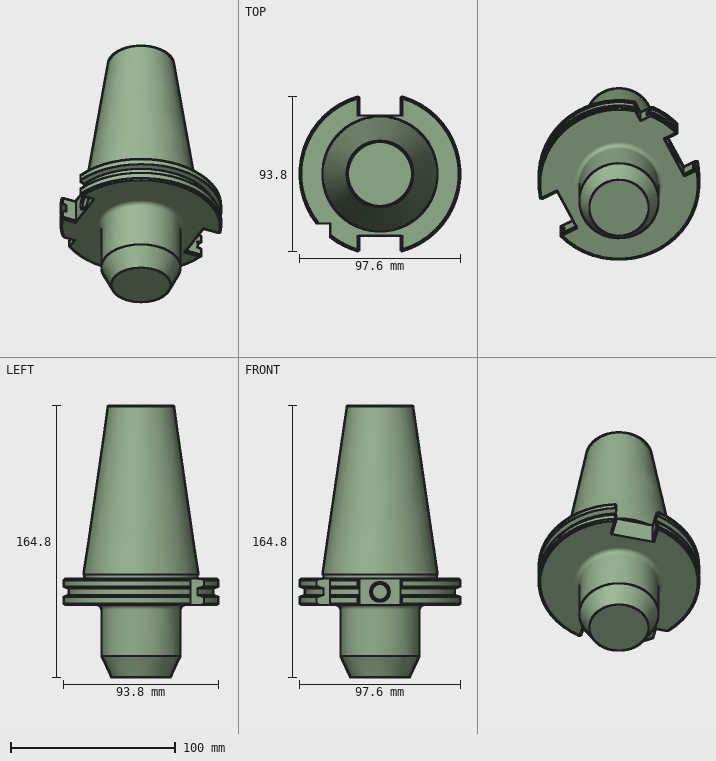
import cadquery as cq
import math

overall_length = 164.8
taper_length = 101.8
taper_slope = 7 / 48
taper_top_chamfer = 0.7
gauge_radius = 35.0
gauge_land = 0.7
neck_radius = 34.5
neck_fillet = 0.5

flange_radius = 48.8
flange_top_z = -3.1
flange_thickness = 16.0
flange_chamfer = 1.0

groove_mid_z = -11.0
groove_floor_radius = 45.6
groove_floor_width = 4.0
groove_mouth_width = 6.5

nose_radius = 24.0
nose_fillet = 2.8
nose_cone_length = 13.0
nose_end_radius = 18.0

slot_width = 25.0
slot_rim_chamfer = 1.0
front_slot_floor = 37.5
back_slot_floor = 35.5

notch_offset = 30.1

hole_diameter = 9.7
hole_depth = 3.8
hole_mouth_diameter = 11.9

taper_top_radius = gauge_radius - taper_slope * taper_length
flange_bottom_z = flange_top_z - flange_thickness
flange_mid_z = flange_top_z - flange_thickness / 2
nose_bottom_z = taper_length - overall_length

revolve_axis = ((0, 0, 0), (0, 1, 0))
arc_inset = 1 - math.sqrt(0.5)


def make_body():
    """Revolved taper, plain flange and nose."""
    chamfer_base_radius = taper_top_radius + taper_slope * taper_top_chamfer
    rim_radius = flange_radius - flange_chamfer
    neck_inset = arc_inset * neck_fillet
    nose_inset = arc_inset * nose_fillet
    return (
        cq.Workplane("XZ")
        .moveTo(0, taper_length)
        .lineTo(taper_top_radius - taper_top_chamfer, taper_length)
        .lineTo(chamfer_base_radius, taper_length - taper_top_chamfer)
        .lineTo(gauge_radius, 0)
        .lineTo(gauge_radius, -gauge_land)
        .lineTo(neck_radius, -gauge_land)
        .lineTo(neck_radius, flange_top_z + neck_fillet)
        .threePointArc(
            (neck_radius + neck_inset, flange_top_z + neck_inset),
            (neck_radius + neck_fillet, flange_top_z),
        )
        .lineTo(rim_radius, flange_top_z)
        .lineTo(flange_radius, flange_top_z - flange_chamfer)
        .lineTo(flange_radius, flange_bottom_z + flange_chamfer)
        .lineTo(rim_radius, flange_bottom_z)
        .lineTo(nose_radius + nose_fillet, flange_bottom_z)
        .threePointArc(
            (nose_radius + nose_inset, flange_bottom_z - nose_inset),
            (nose_radius, flange_bottom_z - nose_fillet),
        )
        .lineTo(nose_radius, nose_bottom_z + nose_cone_length)
        .lineTo(nose_end_radius, nose_bottom_z)
        .lineTo(0, nose_bottom_z)
        .close()
        .revolve(360, *revolve_axis)
    )


def make_slot(side, floor):
    """Drive slot through the flange, open to the -Y (side = -1) or +Y (side = 1) edge."""
    depth = flange_radius - floor
    return (
        cq.Workplane("XY", origin=(0, side * (floor + depth / 2), flange_bottom_z))
        .rect(slot_width, depth)
        .extrude(flange_thickness)
    )


def chamfer_slot_rims(body):
    """Chamfer every edge of the slot walls except the corners along the slot floors."""
    floor_corners = (-front_slot_floor, back_slot_floor)
    tolerance = 0.002
    rims = body.faces("|X").edges().filter(
        lambda edge: all(abs(edge.Center().y - y) > tolerance for y in floor_corners)
    )
    return rims.chamfer(slot_rim_chamfer)


def make_groove():
    """Ring with sloping sides that cuts the groove around the flange edge."""
    floor_half = groove_floor_width / 2
    mouth_half = groove_mouth_width / 2
    return (
        cq.Workplane("XZ")
        .moveTo(groove_floor_radius, groove_mid_z + floor_half)
        .lineTo(flange_radius, groove_mid_z + mouth_half)
        .lineTo(flange_radius, groove_mid_z - mouth_half)
        .lineTo(groove_floor_radius, groove_mid_z - floor_half)
        .close()
        .revolve(360, *revolve_axis)
    )


def make_notch():
    """Square corner notch on the (-X, -Y) side of the flange."""
    return (
        cq.Workplane("XY", origin=(-notch_offset, -notch_offset, flange_bottom_z))
        .rect(-flange_radius, -flange_radius, centered=False)
        .extrude(flange_thickness)
    )


def make_hole():
    """Blind hole with a 45 degree mouth, drilled toward +Y from the floor of the -Y slot."""
    profile_radius = hole_diameter / 2
    mouth_radius = hole_mouth_diameter / 2
    mouth_depth = mouth_radius - profile_radius
    return (
        cq.Workplane("XY", origin=(0, -front_slot_floor, flange_mid_z))
        .lineTo(mouth_radius, 0)
        .lineTo(profile_radius, mouth_depth)
        .lineTo(profile_radius, hole_depth)
        .lineTo(0, hole_depth)
        .close()
        .revolve(360, (0, 0, 0), (0, 1, 0))
    )


body = make_body()
body = body.cut(make_slot(-1, front_slot_floor))
body = body.cut(make_slot(1, back_slot_floor))
body = chamfer_slot_rims(body)
body = body.cut(make_groove())
body = body.cut(make_notch())
result = body.cut(make_hole())